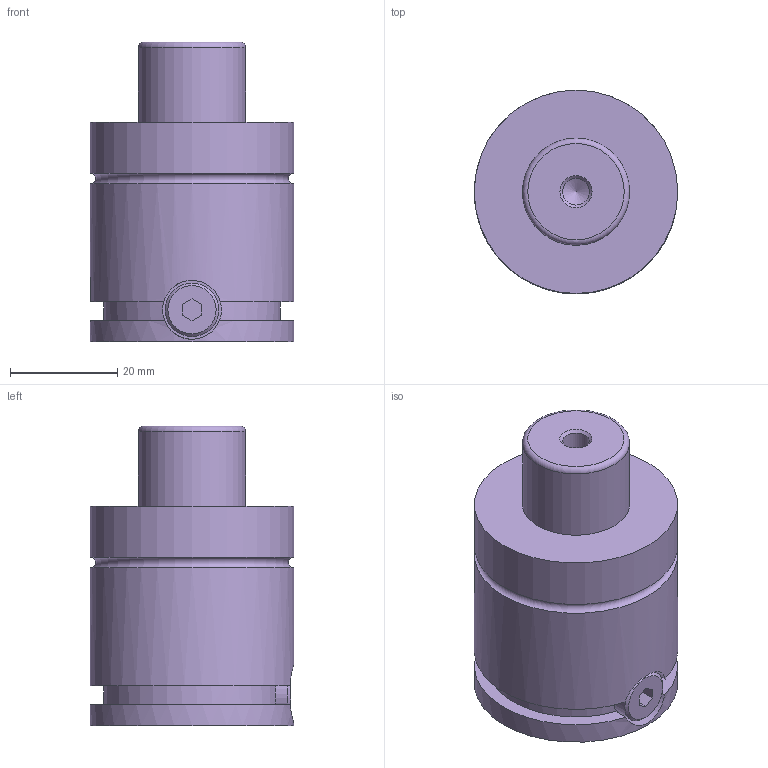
import cadquery as cq
import math

body_diameter = 38.0
body_height = 41.0

rod_diameter = 20.0
total_height = 56.0
rod_edge_radius = 1.0

hole_diameter = 5.0
hole_mouth_diameter = 6.0
hole_depth = 12.0
drill_point_angle = 118.0

round_groove_z = 30.5
round_groove_radius = 1.0

clamp_groove_diameter = 33.0
clamp_groove_bottom = 4.0
clamp_groove_top = 7.5

screw_z = 6.0
screw_seat_diameter = 11.0
screw_head_diameter = 10.0
screw_head_chamfer = 0.5
screw_face_y = -18.4
screw_seat_y = -15.0
socket_across_flats = 3.5
socket_depth = 3.0


def cylinder_along_y(diameter, y_front, y_back):
    """Cylinder on the screw axis between two Y positions, y_front being nearer the outside."""
    return (
        cq.Workplane("XZ", origin=(0, y_back, screw_z))
        .circle(diameter / 2)
        .extrude(y_back - y_front)
    )


def make_body():
    body = cq.Workplane("XY").circle(body_diameter / 2).extrude(body_height)
    rod = (
        cq.Workplane("XY")
        .circle(rod_diameter / 2)
        .extrude(total_height)
        .faces(">Z")
        .edges()
        .fillet(rod_edge_radius)
    )
    return body.union(rod)


def make_rod_hole():
    """Drilled hole with a 45 degree mouth chamfer and a conical bottom."""
    hole_radius = hole_diameter / 2
    mouth_radius = hole_mouth_diameter / 2
    chamfer_z = total_height - (mouth_radius - hole_radius)
    shoulder_z = total_height - hole_depth
    tip_z = shoulder_z - hole_radius / math.tan(math.radians(drill_point_angle / 2))
    return (
        cq.Workplane("XZ")
        .moveTo(0, total_height)
        .lineTo(mouth_radius, total_height)
        .lineTo(hole_radius, chamfer_z)
        .lineTo(hole_radius, shoulder_z)
        .lineTo(0, tip_z)
        .close()
        .revolve(360, (0, 0, 0), (0, 1, 0))
    )


def make_round_groove():
    return cq.Workplane("XY").add(
        cq.Solid.makeTorus(body_diameter / 2, round_groove_radius, cq.Vector(0, 0, round_groove_z))
    )


def make_clamp_groove():
    return (
        cq.Workplane("XY", origin=(0, 0, clamp_groove_bottom))
        .circle(body_diameter / 2)
        .circle(clamp_groove_diameter / 2)
        .extrude(clamp_groove_top - clamp_groove_bottom)
    )


def make_screw():
    """Chamfered screw head with a hexagon socket, corners up and down."""
    head = (
        cylinder_along_y(screw_head_diameter, screw_face_y, screw_seat_y)
        .faces("<Y")
        .edges()
        .chamfer(screw_head_chamfer)
    )
    across_corners = socket_across_flats / math.cos(math.pi / 6)
    socket = (
        cq.Workplane("XZ", origin=(0, screw_face_y, screw_z))
        .transformed(rotate=(0, 0, 90))
        .polygon(6, across_corners)
        .extrude(-socket_depth)
    )
    return head.cut(socket)


screw_seat = cylinder_along_y(screw_seat_diameter, -body_diameter / 2, screw_seat_y)

result = (
    make_body()
    .cut(make_rod_hole())
    .cut(make_round_groove())
    .cut(make_clamp_groove())
    .cut(screw_seat)
    .union(make_screw())
)